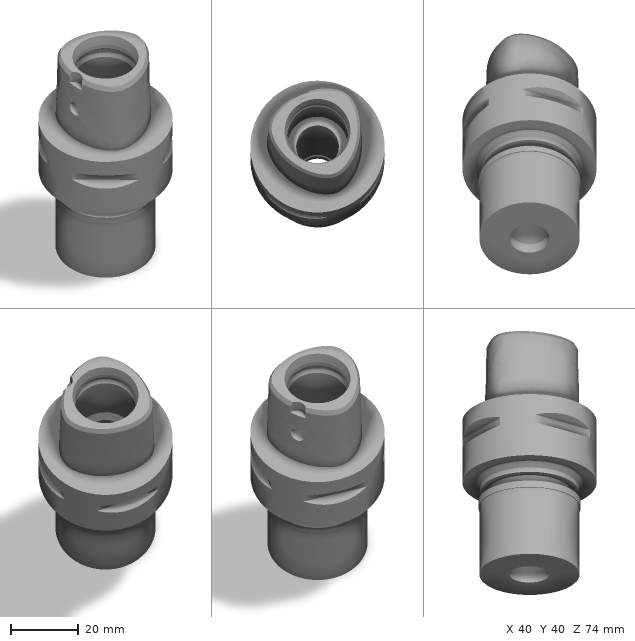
import cadquery as cq
import math

total_height = 74.0
nut_height = 23.8
nut_band_bottom = 21.75
nut_floor_thickness = 3.7
collar_bottom = 26.85
collar_top = 28.4
flange_bottom = 30.0
flange_top = 49.95

flange_radius = 20.02
cone_top_radius = 16.0
collar_radius = 14.8
neck_radius = 12.5
nut_radius = 14.95
nut_band_radius = 15.25
nut_opening_radius = 5.9

shank_lobe = 0.925
shank_base_mean_radius = 14.2
shank_shoulder_mean_radius = 13.6
shank_tip_mean_radius = 12.8
shank_chamfer_height = 1.4
shank_shoulder = total_height - shank_chamfer_height
lobe_direction = math.pi / 2

bore_mouth_radius = 9.85
bore_radius = 9.065
through_hole_radius = 6.4
lead_in_depth = 3.0
groove_start_depth = 4.45
groove_end_depth = 7.8
groove_radial_depth = 0.95
bore_floor = flange_top

notch_radius = 2.8
notch_centre_y = -13.6
notch_depth = 3.9
blind_hole_radius = 2.3
blind_hole_height = 61.5
blind_hole_floor_y = -9.6

gripper_count = 4
gripper_first_angle = 45.0
gripper_height = 42.0
gripper_floor_distance = 17.43
gripper_floor_width = 2.6
gripper_mouth_width = 5.25


def revolve_profile(points):
    """Turn a closed (radius, height) profile about the tool axis."""
    return cq.Workplane("XZ").polyline(points).close().revolve(360, (0, 0, 0), (0, 1, 0))


def shank_point(mean_radius, parameter):
    """Point of the three-lobed outline at parameter 0..1."""
    angle = 2 * math.pi * parameter
    along = mean_radius * math.cos(angle) + shank_lobe * (2 * math.cos(2 * angle) - math.cos(4 * angle))
    across = mean_radius * math.sin(angle) - shank_lobe * (2 * math.sin(2 * angle) + math.sin(4 * angle))
    turn_cos = math.cos(lobe_direction)
    turn_sin = math.sin(lobe_direction)
    return (along * turn_cos - across * turn_sin, along * turn_sin + across * turn_cos)


def shank_wire(mean_radius, height):
    """Closed smooth outline of the shank at one height."""
    sample_count = 48
    points = []
    for index in range(sample_count):
        x, y = shank_point(mean_radius, index / sample_count)
        points.append(cq.Vector(x, y, height))
    return cq.Wire.assembleEdges([cq.Edge.makeSpline(points, periodic=True)])


def make_shank():
    """Tapered three-lobed shank with a chamfered tip."""
    base = shank_wire(shank_base_mean_radius, flange_top)
    shoulder = shank_wire(shank_shoulder_mean_radius, shank_shoulder)
    tip = shank_wire(shank_tip_mean_radius, total_height)
    taper = cq.Solid.makeLoft([base, shoulder], True)
    chamfer = cq.Solid.makeLoft([shoulder, tip], True)
    return cq.Workplane(taper).union(cq.Workplane(chamfer))


def make_turned_body():
    """Flange, collar and spigot below the shank."""
    return revolve_profile([
        (0, nut_floor_thickness),
        (neck_radius, nut_floor_thickness),
        (neck_radius, collar_bottom),
        (collar_radius, collar_bottom),
        (collar_radius, collar_top),
        (cone_top_radius, flange_bottom),
        (flange_radius, flange_bottom),
        (flange_radius, flange_top),
        (0, flange_top),
    ])


def make_bore():
    """Lead-in cone, undercut groove with 45 degree flanks, main bore and through hole."""
    groove_radius = bore_radius + groove_radial_depth
    return revolve_profile([
        (0, total_height),
        (bore_mouth_radius, total_height),
        (bore_radius, total_height - lead_in_depth),
        (bore_radius, total_height - groove_start_depth),
        (groove_radius, total_height - groove_start_depth - groove_radial_depth),
        (groove_radius, total_height - groove_end_depth + groove_radial_depth),
        (bore_radius, total_height - groove_end_depth),
        (bore_radius, bore_floor),
        (through_hole_radius, bore_floor),
        (through_hole_radius, nut_floor_thickness),
        (0, nut_floor_thickness),
    ])


def make_gripper_groove(angle):
    """Cutter for one straight groove whose floor is a flat chord of the flange."""
    depth = flange_radius - gripper_floor_distance
    flare = (gripper_mouth_width - gripper_floor_width) / 2 / depth
    reach = 2 * depth
    half_floor = gripper_floor_width / 2
    half_outer = half_floor + flare * reach
    cutter = (
        cq.Workplane("XZ")
        .moveTo(gripper_floor_distance, gripper_height - half_floor)
        .lineTo(gripper_floor_distance + reach, gripper_height - half_outer)
        .lineTo(gripper_floor_distance + reach, gripper_height + half_outer)
        .lineTo(gripper_floor_distance, gripper_height + half_floor)
        .close()
        .extrude(flange_radius, both=True)
    )
    return cutter.rotate((0, 0, 0), (0, 0, 1), angle)


def make_key_notch():
    """Round-backed notch in the shank tip."""
    return (
        cq.Workplane("XY", origin=(0, notch_centre_y, total_height - notch_depth))
        .circle(notch_radius)
        .extrude(notch_depth)
    )


def make_blind_hole():
    """Flat-bottomed radial hole in the side of the shank."""
    length = flange_radius + blind_hole_floor_y
    return (
        cq.Workplane("XZ", origin=(0, blind_hole_floor_y, blind_hole_height))
        .circle(blind_hole_radius)
        .extrude(length)
    )


def make_holder():
    holder = make_turned_body().union(make_shank())
    holder = holder.cut(make_bore())
    for index in range(gripper_count):
        angle = gripper_first_angle + index * 360 / gripper_count
        holder = holder.cut(make_gripper_groove(angle))
    return holder.cut(make_key_notch()).cut(make_blind_hole())


def make_nut():
    """Banded nut with a recess that seats the holder's spigot."""
    return revolve_profile([
        (nut_opening_radius, 0),
        (nut_radius, 0),
        (nut_radius, nut_band_bottom),
        (nut_band_radius, nut_band_bottom),
        (nut_band_radius, nut_height),
        (neck_radius, nut_height),
        (neck_radius, nut_floor_thickness),
        (nut_opening_radius, nut_floor_thickness),
    ])


holder = make_holder()
nut = make_nut()

result = cq.Compound.makeCompound([holder.val(), nut.val()])